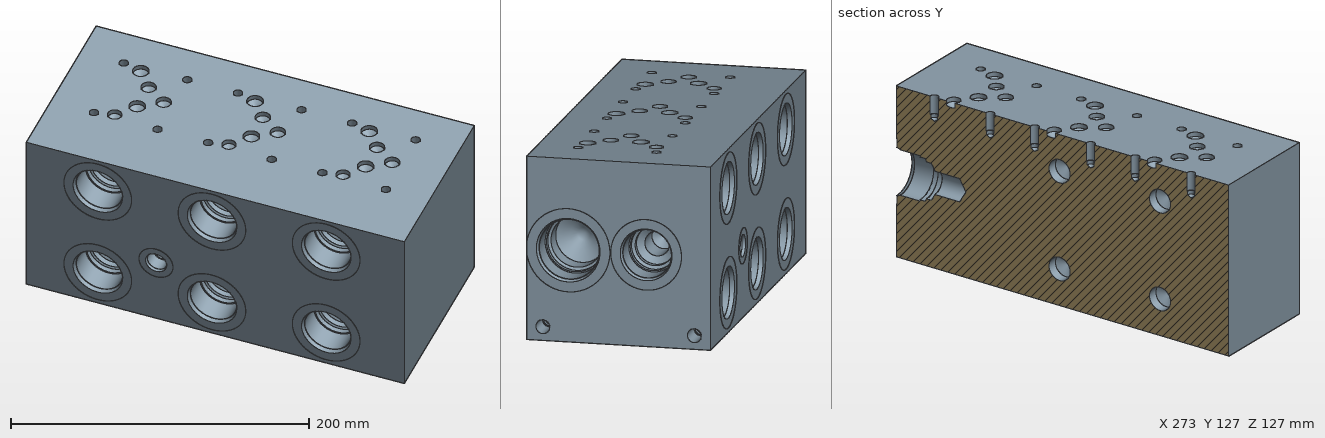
import cadquery as cq
import math

length = 273.0
width = 127.0
height = 127.0

station_count = 3
station_pitch = 82.5

tip_angle = 118.0
spotface_depth = 0.3

main_spotface = 49.0
main_mouth = 35.8
main_throat = 33.9
main_thread = 33.3
main_core = 31.5
main_seat_depth = 3.3
main_thread_depth = 19.7
main_core_depth = 23.5
main_drill_depth = 28.7

passage_diameter = 17.0
passage_depth = 52.0

first_port_x = 51.5
port_edge_distance = 27.3
service_drill = 28.7

pressure_y = width - 82.5
pressure_drill = 27.0

tank_spotface = 57.5
tank_y = width - 28.7
tank_mouth = 44.0
tank_throat = 41.8
tank_thread = 41.2
tank_core = 39.3
tank_drill = 35.5
tank_drill_depth = 38.2

gauge_x = 93.7
gauge_z = 49.5
gauge_spotface = 24.5
gauge_mouth = 15.3
gauge_throat = 14.5
gauge_thread = 14.2
gauge_core = 12.8
gauge_drill = 12.3
gauge_seat_depth = 2.5
gauge_thread_depth = 12.3
gauge_core_depth = 15.0
gauge_drill_depth = 16.5

foot_y = 11.2
foot_z = 9.5
foot_thread = 9.5
foot_thread_depth = 19.0
foot_core = 8.0
foot_core_depth = 23.2

bolt_x = 31.0
bolt_y = width - 28.0
bolt_span_x = 46.0
bolt_span_y = 54.0
bolt_thread = 6.3
bolt_thread_depth = 13.7
bolt_core = 5.2
bolt_core_depth = 16.5
valve_hole_depth = 3.3
valve_holes = [
    (13.7, 3.3, 11.2),
    (24.5, 16.7, 10.5),
    (39.5, 27.0, 10.5),
    (24.5, 37.5, 11.2),
    (13.7, 50.8, 9.5),
]


def cone_length(large, small=0.0):
    """Axial length of a drilled cone between two diameters."""
    return (large - small) / 2 / math.tan(math.radians(tip_angle / 2))


def turned_cutter(profile):
    """Cutter along +Z from (diameter, depth) corners, ending in a drill point."""
    end_diameter, end_depth = profile[-1]
    points = [(0, 0)]
    points += [(diameter / 2, depth) for diameter, depth in profile]
    points += [(0, end_depth + cone_length(end_diameter))]
    return cq.Workplane("XZ").polyline(points).close().revolve(360, (0, 0), (0, 1))


def port_mouth(spotface, mouth, throat, seat_depth):
    """Spotface and tapered seal seat."""
    return [
        (spotface, 0),
        (spotface, spotface_depth),
        (mouth, spotface_depth),
        (throat, seat_depth),
    ]


def thread_bore(thread, start, thread_depth, core, core_depth):
    """Bore at the thread diameter, a square step, then the core diameter."""
    return [
        (thread, start),
        (thread, thread_depth),
        (core, thread_depth),
        (core, core_depth),
    ]


def drilled_step(diameter, wider, wider_depth, depth):
    """Narrower drill that starts in the conical bottom of a wider one."""
    return [
        (diameter, wider_depth + cone_length(wider, diameter)),
        (diameter, depth),
    ]


def front_cutter(profile, x, z):
    return turned_cutter(profile).rotate((0, 0, 0), (1, 0, 0), -90).translate((x, 0, z))


def left_cutter(profile, y, z):
    return turned_cutter(profile).rotate((0, 0, 0), (0, 1, 0), 90).translate((0, y, z))


def top_cutter(profile, x, y):
    return turned_cutter(profile).rotate((0, 0, 0), (1, 0, 0), 180).translate((x, y, height))


main_profile = port_mouth(main_spotface, main_mouth, main_throat, main_seat_depth)
main_profile += thread_bore(
    main_thread, main_seat_depth, main_thread_depth, main_core, main_core_depth
)

blind_service_profile = main_profile + drilled_step(
    service_drill, main_core, main_core_depth, main_drill_depth
)
service_profile = blind_service_profile + drilled_step(
    passage_diameter, service_drill, main_drill_depth, passage_depth
)

pressure_profile = main_profile + drilled_step(
    pressure_drill, main_core, main_core_depth, main_drill_depth
)
pressure_profile += drilled_step(
    passage_diameter, pressure_drill, main_drill_depth, passage_depth
)

tank_profile = port_mouth(tank_spotface, tank_mouth, tank_throat, main_seat_depth)
tank_profile += thread_bore(
    tank_thread, main_seat_depth, main_thread_depth, tank_core, main_core_depth
)
tank_profile += drilled_step(tank_drill, tank_core, main_core_depth, tank_drill_depth)

gauge_profile = port_mouth(gauge_spotface, gauge_mouth, gauge_throat, gauge_seat_depth)
gauge_profile += thread_bore(
    gauge_thread, gauge_seat_depth, gauge_thread_depth, gauge_core, gauge_core_depth
)
gauge_profile += drilled_step(gauge_drill, gauge_core, gauge_core_depth, gauge_drill_depth)

foot_profile = thread_bore(foot_thread, 0, foot_thread_depth, foot_core, foot_core_depth)
bolt_profile = thread_bore(bolt_thread, 0, bolt_thread_depth, bolt_core, bolt_core_depth)

result = cq.Workplane("XY").box(length, width, height, centered=False)

for station in range(station_count):
    port_x = first_port_x + station * station_pitch
    profile = blind_service_profile if station == 0 else service_profile
    for port_z in (port_edge_distance, height - port_edge_distance):
        result = result.cut(front_cutter(profile, port_x, port_z))
result = result.cut(front_cutter(gauge_profile, gauge_x, gauge_z))

result = result.cut(left_cutter(tank_profile, tank_y, height / 2))
result = result.cut(left_cutter(pressure_profile, pressure_y, height / 2))
for y in (foot_y, width - foot_y):
    result = result.cut(left_cutter(foot_profile, y, foot_z))

for station in range(station_count):
    left_x = bolt_x + station * station_pitch
    for x in (left_x, left_x + bolt_span_x):
        for y in (bolt_y, bolt_y - bolt_span_y):
            result = result.cut(top_cutter(bolt_profile, x, y))
    for right, forward, diameter in valve_holes:
        profile = [(diameter, 0), (diameter, valve_hole_depth)]
        result = result.cut(top_cutter(profile, left_x + right, bolt_y - forward))